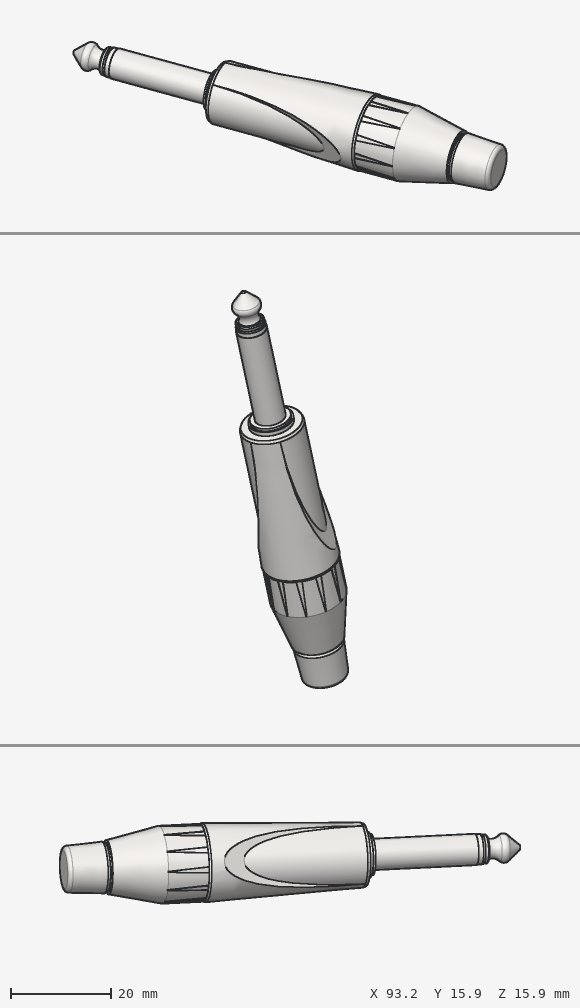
import cadquery as cq
import math

LENGTH = 93.2
BODY_DIA = 15.9
CUT_MARGIN = 0.9

TIP_FLAT_DIA = 0.9
TIP_CONE_LENGTH = 2.6
TIP_BALL_X = 3.4
TIP_BALL_DIA = 6.0
TIP_BALL_ROUND = 1.2
TIP_NECK_DIA = 4.0

RING_START = 6.7
RING_EDGE = 0.3
RING_STEPS = [(7.55, 5.9), (8.0, 6.0), (9.0, 6.15)]
SLEEVE_DIA = 6.3
SLEEVE_END = 30.3
COLLAR_DIA = 8.4
COLLAR_END = 30.8
FLANGE_DIA = 9.2
BODY_START = 31.8

BODY_FRONT_DIA = 13.1
BODY_END = 65.0
BODY_EDGE = 0.5
FRONT_CHAMFER_LENGTH = 0.65
FRONT_CHAMFER_DEPTH = 0.3

SCOOP_TILT = 13.5
SCOOP_START_OFFSET = 3.1
SCOOP_RADIUS = 97.8

NUT_DIA = 15.7
NUT_RING_END = 73.4
NUT_END = 84.2
NUT_END_DIA = 10.9
GROOVE_END = 84.6
GROOVE_DIA = 9.9
BOOT_START_DIA = 10.4
BOOT_END_DIA = 9.4
BOOT_SHOULDER = 85.2
BOOT_ROUND = 0.9

NOTCH_COUNT = 12
NOTCH_FIRST_ANGLE = 2.5
NOTCH_WIDTH = 1.2
NOTCH_END_WIDTH = 0.2
NOTCH_DEPTH = 0.2


def spin(outline):
    """Revolve a closed outline, drawn as (position, radius), about the X axis."""
    return outline.close().revolve(360, (0, 0, 0), (1, 0, 0))


def add_tip(outline):
    """Cone, rounded ball and concave neck; ball and neck meet smoothly at a 45 degree slope."""
    diagonal = math.sqrt(0.5)
    neck_radius = TIP_NECK_DIA / 2
    ball_radius = TIP_BALL_DIA / 2
    ball_center = ball_radius - TIP_BALL_ROUND
    cone_end_radius = ball_center + math.sqrt(TIP_BALL_ROUND**2 - (TIP_BALL_X - TIP_CONE_LENGTH) ** 2)
    ball_end_x = TIP_BALL_X + TIP_BALL_ROUND * diagonal
    ball_end_radius = ball_center + TIP_BALL_ROUND * diagonal
    neck_round = (ball_end_radius - neck_radius) / (1 - diagonal)
    neck_x = ball_end_x + neck_round * diagonal
    neck_end_radius = neck_radius + neck_round - math.sqrt(neck_round**2 - (RING_START - neck_x) ** 2)
    return (
        outline.lineTo(0, TIP_FLAT_DIA / 2)
        .lineTo(TIP_CONE_LENGTH, cone_end_radius)
        .threePointArc((TIP_BALL_X, ball_radius), (ball_end_x, ball_end_radius))
        .threePointArc((neck_x, neck_radius), (RING_START, neck_end_radius))
    )


def make_plug():
    outline = add_tip(cq.Workplane("XY").moveTo(0, 0))
    first_ring_radius = RING_STEPS[0][1] / 2
    outline = outline.lineTo(RING_START, first_ring_radius - RING_EDGE)
    start = RING_START + RING_EDGE
    steps = RING_STEPS + [(SLEEVE_END, SLEEVE_DIA), (COLLAR_END, COLLAR_DIA), (BODY_START, FLANGE_DIA)]
    for end, diameter in steps:
        outline = outline.lineTo(start, diameter / 2).lineTo(end, diameter / 2)
        start = end
    return spin(outline.lineTo(BODY_START, 0))


def handle_blank(full_radius):
    """Round handle growing from its front diameter to the given radius."""
    front_radius = BODY_FRONT_DIA / 2
    return spin(
        cq.Workplane("XY")
        .moveTo(BODY_START, 0)
        .lineTo(BODY_START, front_radius - FRONT_CHAMFER_DEPTH)
        .lineTo(BODY_START + FRONT_CHAMFER_LENGTH, front_radius)
        .lineTo(BODY_END - BODY_EDGE, full_radius)
        .lineTo(BODY_END, full_radius - BODY_EDGE / 2)
        .lineTo(BODY_END, 0)
    )


def make_scoop():
    """Cutter on the -Y side whose floor is an arc rising out of the handle."""
    clear = BODY_DIA
    rise = BODY_DIA / 2 + CUT_MARGIN - SCOOP_START_OFFSET
    angle = math.acos(1 - rise / SCOOP_RADIUS)

    def floor_point(turn):
        x = BODY_START + SCOOP_RADIUS * math.sin(turn)
        return x, -SCOOP_START_OFFSET - SCOOP_RADIUS * (1 - math.cos(turn))

    end_x, end_y = floor_point(angle)
    return (
        cq.Workplane("XY")
        .moveTo(BODY_START - CUT_MARGIN, -SCOOP_START_OFFSET)
        .lineTo(*floor_point(0))
        .threePointArc(floor_point(angle / 2), (end_x, end_y))
        .lineTo(end_x, -clear)
        .lineTo(BODY_START - CUT_MARGIN, -clear)
        .close()
        .extrude(clear, both=True)
    )


def make_handle():
    scoop = make_scoop()
    handle = handle_blank(BODY_DIA / 2)
    for side in (0, 180):
        handle = handle.cut(scoop.rotate((0, 0, 0), (1, 0, 0), SCOOP_TILT + side))
    return handle.union(handle_blank(BODY_FRONT_DIA / 2))


def make_nut():
    nut = spin(
        cq.Workplane("XY")
        .moveTo(BODY_END, 0)
        .lineTo(BODY_END, NUT_DIA / 2)
        .lineTo(NUT_RING_END, NUT_DIA / 2)
        .lineTo(NUT_END, NUT_END_DIA / 2)
        .lineTo(NUT_END, GROOVE_DIA / 2)
        .lineTo(GROOVE_END, GROOVE_DIA / 2)
        .lineTo(BOOT_SHOULDER, BOOT_START_DIA / 2)
        .lineTo(LENGTH, BOOT_END_DIA / 2)
        .lineTo(LENGTH, 0)
    )
    return nut.faces(">X").edges().fillet(BOOT_ROUND)


def make_notch():
    """Cutter on the -Y side, narrowing and running out to nothing at the end of the nut ring."""
    surface = NUT_DIA / 2
    wedge = (
        cq.Workplane("XY")
        .moveTo(BODY_END, -surface + NOTCH_DEPTH)
        .lineTo(NUT_RING_END, -surface)
        .lineTo(NUT_RING_END, -surface - CUT_MARGIN)
        .lineTo(BODY_END, -surface - CUT_MARGIN)
        .close()
        .extrude(NOTCH_WIDTH, both=True)
    )
    taper = (
        cq.Workplane("XZ")
        .moveTo(BODY_END, NOTCH_WIDTH / 2)
        .lineTo(NUT_RING_END, NOTCH_END_WIDTH / 2)
        .lineTo(NUT_RING_END, -NOTCH_END_WIDTH / 2)
        .lineTo(BODY_END, -NOTCH_WIDTH / 2)
        .close()
        .extrude(BODY_DIA)
    )
    return wedge.intersect(taper)


def cut_notches(nut):
    notch = make_notch()
    for index in range(NOTCH_COUNT):
        angle = NOTCH_FIRST_ANGLE + index * 360 / NOTCH_COUNT
        nut = nut.cut(notch.rotate((0, 0, 0), (1, 0, 0), angle))
    return nut


result = make_plug().union(make_handle()).union(cut_notches(make_nut()))